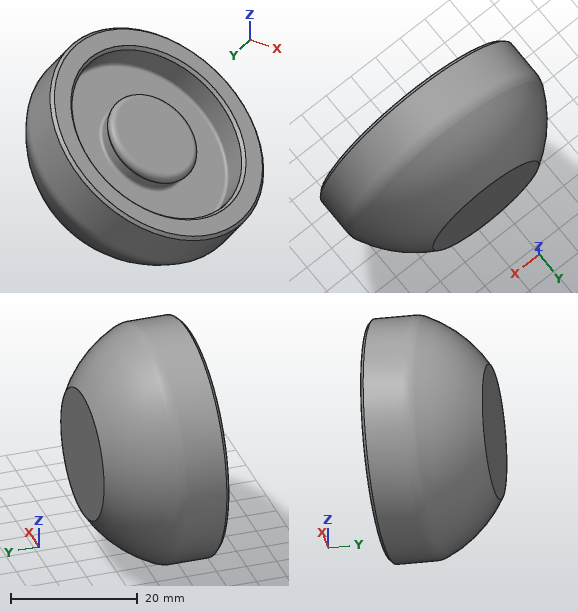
import cadquery as cq
import math

outer_radius = 19.5
height = 18.0
edge_break = 0.5

dome_radius = 21.0
blend_radius = 4.0

recess_radius = 15.5
recess_depth = 5.0

button_height = 4.0
head_radius = 8.0
head_round = 1.0
neck_radius = 7.5


def revolve_about_y(profile):
    """Turn a closed XY profile (X = radius) fully around the Y axis."""
    return profile.close().revolve(360, (0, 0, 0), (0, 1, 0))


def point_on_arc(center, radius, angle):
    """Point at the given angle, in radians, on a circle."""
    return center[0] + radius * math.cos(angle), center[1] + radius * math.sin(angle)


def make_body():
    blend_x = outer_radius - blend_radius
    blend_y = math.sqrt((dome_radius - blend_radius) ** 2 - blend_x**2)
    tangent_angle = math.atan2(blend_y, blend_x)
    top_angle = math.asin(height / dome_radius)
    blend_center = (blend_x, blend_y)
    dome_center = (0, 0)
    profile = (
        cq.Workplane("XY")
        .lineTo(outer_radius - edge_break, 0)
        .lineTo(outer_radius, edge_break)
        .lineTo(outer_radius, blend_y)
        .threePointArc(
            point_on_arc(blend_center, blend_radius, tangent_angle / 2),
            point_on_arc(blend_center, blend_radius, tangent_angle),
        )
        .threePointArc(
            point_on_arc(dome_center, dome_radius, (tangent_angle + top_angle) / 2),
            point_on_arc(dome_center, dome_radius, top_angle),
        )
        .lineTo(0, height)
    )
    return revolve_about_y(profile)


def make_recess():
    """Recess volume with a chamfered mouth and a filleted floor corner."""
    corner_center = (recess_radius - edge_break, recess_depth - edge_break)
    profile = (
        cq.Workplane("XY")
        .lineTo(recess_radius + edge_break, 0)
        .lineTo(recess_radius, edge_break)
        .lineTo(recess_radius, corner_center[1])
        .threePointArc(
            point_on_arc(corner_center, edge_break, math.pi / 4),
            (corner_center[0], recess_depth),
        )
        .lineTo(0, recess_depth)
    )
    return revolve_about_y(profile)


def make_button():
    """Button whose rounded head curls under to a neck with a root fillet."""
    face_y = recess_depth - button_height
    head_center = (head_radius - head_round, face_y + head_round)
    under_angle = math.acos((neck_radius - head_center[0]) / head_round)
    root_center = (neck_radius + edge_break, recess_depth - edge_break)
    profile = (
        cq.Workplane("XY")
        .moveTo(0, face_y)
        .lineTo(head_center[0], face_y)
        .threePointArc(
            (head_radius, head_center[1]),
            point_on_arc(head_center, head_round, under_angle),
        )
        .lineTo(neck_radius, root_center[1])
        .threePointArc(
            point_on_arc(root_center, edge_break, math.radians(135)),
            (root_center[0], recess_depth),
        )
        .lineTo(root_center[0], recess_depth + edge_break)
        .lineTo(0, recess_depth + edge_break)
    )
    return revolve_about_y(profile)


result = make_body().cut(make_recess()).union(make_button())